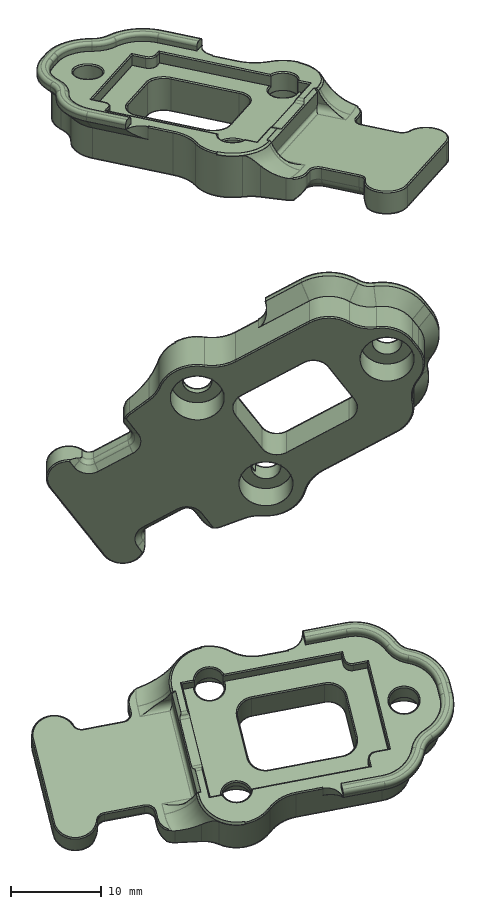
import cadquery as cq
import math

length = 46.4
body_top = 5.55
tail_top = 2.9
rim_top = 6.6
edge_chamfer = 0.15

rim_overhang = 1.62
nose_radius = 4.0
nose_flat_half = 0.65
cheek_center_x = 9.85
body_half_width = 9.0
nose_center = (rim_overhang + nose_radius, nose_flat_half)
cheek_center = (cheek_center_x, body_half_width - nose_radius)
lobe_center = (25.95, 7.0)
lobe_radius = 4.5
waist_radius = 4.8

shoulder_x = 35.1
shoulder_corner_radius = 2.0
shoulder_corner_y = 9.33
shoulder_slope = 9.0
shoulder_root_radius = 4.0
neck_half_width = 5.5
neck_fillet = 0.97
head_radius = 2.5
head_center = (length - head_radius, 5.48)

ridge_width = 1.45
rim_bite = 0.45
ridge_rounding = 0.45
ridge_end_x = 14.55
flare_end_radius = 2.0

scoop_radius = 4.0
scoop_lip = 0.25
shoulder_land = 0.97
scoop_end = shoulder_x - shoulder_land

recess_wall_x = 30.3
recess_half_width = 6.55
recess_side_fillet = 0.9
recess_end_fillet = 0.4
recess_top_chamfer = 0.4

bevel = 0.97
bevel_rounding = 0.97
neck_end = 41.57

hole_diameter = 3.3
counterbore_diameter = 6.0
counterbore_depth = 3.25
nose_hole_x = 5.4
window_left, window_right = 11.4, 23.65
window_half_width = 4.65
window_corner_radius = 2.0
pocket_left, pocket_right = 8.3, 29.0
pocket_half_width = 7.35
pocket_depth = 1.4
notch_length = 2.55
notch_width = 1.7
notch_radius = 0.97
groove_depth = 0.3
groove_floor_half = 3.0
groove_top_half = 3.85

clearance = 2.3


def circle_meeting(first_center, first_radius, second_center, second_radius):
    """Crossing point of two circles that lies to the left of the line from first to second."""
    dx = second_center[0] - first_center[0]
    dy = second_center[1] - first_center[1]
    distance = math.hypot(dx, dy)
    along = (distance**2 + first_radius**2 - second_radius**2) / (2 * distance)
    across = math.sqrt(first_radius**2 - along**2)
    return (
        first_center[0] + (along * dx - across * dy) / distance,
        first_center[1] + (along * dy + across * dx) / distance,
    )


def toward(center, target, radius):
    """Point at the given radius from a centre, in the direction of the target."""
    dx = target[0] - center[0]
    dy = target[1] - center[1]
    scale = radius / math.hypot(dx, dy)
    return (center[0] + dx * scale, center[1] + dy * scale)


def on_circle(center, radius, degrees):
    angle = math.radians(degrees)
    return (center[0] + radius * math.cos(angle), center[1] + radius * math.sin(angle))


def arc_middle(center, radius, start, end):
    """Middle of the shorter arc between two points of a circle."""
    return toward(center, ((start[0] + end[0]) / 2, (start[1] + end[1]) / 2), radius)


def arc(sketch, center, radius, start, end):
    return sketch.threePointArc(arc_middle(center, radius, start, end), end)


def both_sides(half):
    return half.union(half.mirror("XZ"))


dip_center = circle_meeting(nose_center, 2 * nose_radius, cheek_center, 2 * nose_radius)
nose_start = (rim_overhang, nose_flat_half)
nose_end = toward(nose_center, dip_center, nose_radius)
cheek_start = toward(cheek_center, dip_center, nose_radius)
cheek_end = (cheek_center_x, body_half_width)


def nose_outline(sketch):
    """Adds nose, dip and cheek arcs from nose_start to cheek_end."""
    sketch = arc(sketch, nose_center, nose_radius, nose_start, nose_end)
    sketch = arc(sketch, dip_center, nose_radius, nose_end, cheek_start)
    return arc(sketch, cheek_center, nose_radius, cheek_start, cheek_end)


def main_body():
    waist_center_y = body_half_width + waist_radius
    waist_center_x = lobe_center[0] - math.sqrt(
        (lobe_radius + waist_radius) ** 2 - (waist_center_y - lobe_center[1]) ** 2
    )
    waist_center = (waist_center_x, waist_center_y)
    waist_start = (waist_center_x, body_half_width)
    lobe_start = toward(lobe_center, waist_center, lobe_radius)
    lobe_end = (lobe_center[0] + lobe_radius, lobe_center[1])
    sketch = cq.Workplane("XY").moveTo(rim_overhang, 0).lineTo(*nose_start)
    sketch = nose_outline(sketch).lineTo(*waist_start)
    sketch = arc(sketch, waist_center, waist_radius, waist_start, lobe_start)
    sketch = sketch.threePointArc(on_circle(lobe_center, lobe_radius, 60), lobe_end)
    plate = both_sides(sketch.lineTo(lobe_end[0], 0).close().extrude(body_top))
    return plate.faces(">Z").edges().chamfer(edge_chamfer)


def tail_body():
    corner_center_x = shoulder_x - shoulder_corner_radius
    tilt = 90 - shoulder_slope
    rise = shoulder_corner_radius * math.sin(math.radians(tilt))
    corner_center = (corner_center_x, shoulder_corner_y - rise)
    corner_start = on_circle(corner_center, shoulder_corner_radius, tilt)
    corner_end = (shoulder_x, corner_center[1])
    root_x = lobe_center[0]
    root_y = corner_start[1] + (corner_start[0] - root_x) * math.tan(math.radians(shoulder_slope))

    fillet_y = neck_half_width + neck_fillet
    front_center = (shoulder_x + neck_fillet, fillet_y)
    front_end = (front_center[0], neck_half_width)
    back_center_x = head_center[0] - math.sqrt(
        (head_radius + neck_fillet) ** 2 - (fillet_y - head_center[1]) ** 2
    )
    back_center = (back_center_x, fillet_y)
    back_start = (back_center_x, neck_half_width)
    head_start = toward(back_center, head_center, neck_fillet)
    head_end = (length, head_center[1])

    def outline():
        sketch = cq.Workplane("XY").moveTo(root_x, 0).lineTo(root_x, root_y).lineTo(*corner_start)
        sketch = arc(sketch, corner_center, shoulder_corner_radius, corner_start, corner_end)
        sketch = sketch.lineTo(shoulder_x, fillet_y)
        sketch = arc(sketch, front_center, neck_fillet, (shoulder_x, fillet_y), front_end)
        sketch = sketch.lineTo(*back_start)
        sketch = arc(sketch, back_center, neck_fillet, back_start, head_start)
        sketch = sketch.threePointArc(on_circle(head_center, head_radius, 80), head_end)
        return sketch.lineTo(length, 0).close()

    plate = both_sides(outline().extrude(tail_top)).faces(">Z").edges().chamfer(edge_chamfer)
    scooped_zone = cq.Workplane("XY").box(2 * scoop_end, length, 2 * body_top)
    return plate.union(both_sides(outline().extrude(body_top)).intersect(scooped_zone))


def scoop_cutter():
    """Space above the tail, bounded by a concave round that follows the lobes."""
    end = scoop_end - lobe_center[0]
    arc_center = (end, tail_top + scoop_radius)
    cut_top = body_top + clearance
    low = (end, tail_top)
    lip_z = body_top - scoop_lip
    lip_r = end - math.sqrt(scoop_radius**2 - (arc_center[1] - lip_z) ** 2)
    lip = (lip_r, lip_z)
    def section():
        return (
            cq.Workplane("XZ", origin=(*lobe_center, 0))
            .moveTo(length, tail_top)
            .lineTo(*low)
            .threePointArc(arc_middle(arc_center, scoop_radius, low, lip), lip)
            .lineTo(lip_r - scoop_lip, body_top)
            .lineTo(lip_r - scoop_lip, cut_top)
            .lineTo(length, cut_top)
            .close()
        )

    straight = section().extrude(lobe_center[1])
    around_lobe = section().revolve(90, (0, 0, 0), (0, 1, 0))
    return both_sides(straight.union(around_lobe))


def recess_cutter():
    """Space between the scoops: bevelled end wall, filleted foot, rounded sides."""
    cut_top = body_top + clearance
    foot = (recess_wall_x + recess_end_fillet, tail_top)
    foot_center = (foot[0], tail_top + recess_end_fillet)
    along = (
        cq.Workplane("XZ", origin=(0, recess_half_width, 0))
        .moveTo(length, tail_top)
        .lineTo(*foot)
        .threePointArc(
            on_circle(foot_center, recess_end_fillet, 225), (recess_wall_x, foot_center[1])
        )
        .lineTo(recess_wall_x, body_top - recess_top_chamfer)
        .lineTo(recess_wall_x - recess_top_chamfer, body_top)
        .lineTo(recess_wall_x - recess_top_chamfer, cut_top)
        .lineTo(length, cut_top)
        .close()
        .extrude(2 * recess_half_width)
    )
    across = (
        cq.Workplane("XY")
        .box(2 * length, 2 * recess_half_width, 2 * clearance, centered=(True, True, False))
        .translate((0, 0, tail_top))
        .edges("|X and <Z")
        .fillet(recess_side_fillet)
    )
    return along.intersect(across)


def neck_bevel_cutter():
    """Space beside the neck whose lower part widens at 45 degrees to undercut the neck."""
    middle_x = (shoulder_x + neck_end) / 2
    depth = body_half_width

    def block(grow):
        size = (neck_end - shoulder_x + 2 * grow, depth + 2 * grow)
        rectangle = cq.Sketch().rect(*size).vertices().fillet(neck_fillet + grow)
        center = (middle_x, neck_half_width + depth / 2, 0)
        return cq.Workplane("XY", origin=center).placeSketch(rectangle)

    upright = block(0).extrude(body_top)
    cutter = upright.union(block(bevel).extrude(bevel, taper=45))
    margin = bevel / 10
    ridge_zone = cq.selectors.BoxSelector(
        (0, 0, bevel - margin), (length, length, bevel + margin)
    )
    cutter = cutter.edges(ridge_zone).fillet(bevel_rounding)
    return cutter.union(cutter.mirror("XZ"))


def body():
    """Solid body with scoops, recess, neck bevels and eased outer edges."""
    plate = main_body().union(tail_body()).clean()
    lobe_end_x = lobe_center[0] + lobe_radius
    root_zone = cq.selectors.BoxSelector(
        (lobe_center[0] + clearance, -length, 0), (lobe_end_x - edge_chamfer, length, body_top)
    )
    plate = plate.edges("|Z").edges(root_zone).fillet(shoulder_root_radius)
    plate = plate.faces("<Z").edges().chamfer(edge_chamfer)
    plate = plate.cut(scoop_cutter()).cut(recess_cutter())
    return plate.cut(neck_bevel_cutter())


def rim_sweep(profile_builder, end_x):
    """Sweeps a section, drawn as outward offset and height, round the nose."""
    path = cq.Workplane("XY").moveTo(end_x, body_half_width).lineTo(*cheek_end)
    path = arc(path, cheek_center, nose_radius, cheek_end, cheek_start)
    path = arc(path, dip_center, nose_radius, cheek_start, nose_end)
    path = arc(path, nose_center, nose_radius, nose_end, nose_start).lineTo(rim_overhang, 0)
    plane = cq.Plane(origin=(end_x, body_half_width, 0), xDir=(0, 1, 0), normal=(1, 0, 0))
    return both_sides(profile_builder(cq.Workplane(plane)).close().sweep(path))


def flare_section(sketch):
    flare_bottom = body_top - rim_overhang
    return (
        sketch.moveTo(-rim_bite, flare_bottom)
        .lineTo(0, flare_bottom)
        .lineTo(rim_overhang, body_top)
        .lineTo(-rim_bite, body_top)
    )


def ridge_section(sketch):
    inner = rim_overhang - ridge_width
    shoulder = rim_top - ridge_rounding
    inner_center = (inner + ridge_rounding, shoulder)
    outer_center = (rim_overhang - ridge_rounding, shoulder)
    return (
        sketch.moveTo(inner, body_top - rim_bite)
        .lineTo(inner, shoulder)
        .threePointArc(on_circle(inner_center, ridge_rounding, 135), (inner_center[0], rim_top))
        .lineTo(outer_center[0], rim_top)
        .threePointArc(on_circle(outer_center, ridge_rounding, 45), (rim_overhang, shoulder))
        .lineTo(rim_overhang, body_top)
        .lineTo(inner, body_top - rim_bite)
    )


def rim():
    flare_end_x = ridge_end_x + flare_end_radius
    end_center = (flare_end_x, body_half_width + flare_end_radius)
    end_cut = cq.Workplane("XY").pushPoints([end_center]).circle(flare_end_radius).extrude(rim_top)
    flare = rim_sweep(flare_section, flare_end_x).cut(both_sides(end_cut))
    return flare.union(rim_sweep(ridge_section, ridge_end_x))


def hole_cutter(x, y):
    """Through hole with a wide counterbore from the underside."""
    through = cq.Workplane("XY", origin=(x, y, 0)).circle(hole_diameter / 2).extrude(body_top)
    return through.union(
        cq.Workplane("XY", origin=(x, y, 0)).circle(counterbore_diameter / 2).extrude(counterbore_depth)
    )


def hole_countersink(x, y, z):
    return countersink(cq.Workplane("XY", origin=(x, y, z)).circle(hole_diameter / 2 + edge_chamfer))


def countersink(sketch):
    return sketch.extrude(-edge_chamfer, taper=45)


def window_cutter():
    def opening(z, grow):
        center_x = (window_left + window_right) / 2
        size_x = window_right - window_left + 2 * grow
        rectangle = cq.Sketch().rect(size_x, 2 * (window_half_width + grow))
        rectangle = rectangle.vertices().fillet(window_corner_radius + grow)
        return cq.Workplane("XY", origin=(center_x, 0, z)).placeSketch(rectangle)

    floor = body_top - pocket_depth
    return opening(0, 0).extrude(body_top).union(countersink(opening(floor, edge_chamfer)))


def pocket_outline(z):
    inner_y = pocket_half_width - notch_width
    notch_x = pocket_left + notch_length
    half = (
        cq.Workplane("XY", origin=(0, 0, z))
        .moveTo(pocket_left, 0)
        .lineTo(pocket_left, inner_y)
        .lineTo(notch_x - notch_radius, inner_y)
        .radiusArc((notch_x, inner_y + notch_radius), -notch_radius)
        .lineTo(notch_x, pocket_half_width)
        .lineTo(pocket_right, pocket_half_width)
        .lineTo(pocket_right, 0)
    )
    return half.mirrorX()


def pocket_cutter():
    floor = body_top - pocket_depth
    bevelled_mouth = countersink(pocket_outline(body_top).offset2D(edge_chamfer, "intersection"))
    return pocket_outline(floor).extrude(pocket_depth).union(bevelled_mouth)


def groove_cutter():
    """Shallow groove through the end wall, its sides eased by S-shaped curves."""
    middle = ((groove_floor_half + groove_top_half) / 2, body_top - groove_depth / 2)
    half = (
        cq.Workplane("YZ", origin=(pocket_right - edge_chamfer, 0, 0))
        .moveTo(0, body_top - groove_depth)
        .lineTo(groove_floor_half, body_top - groove_depth)
        .tangentArcPoint(middle, relative=False)
        .tangentArcPoint((groove_top_half, body_top), relative=False)
        .lineTo(0, body_top)
        .close()
        .extrude(clearance)
    )
    return both_sides(half)


part = body().union(rim())
part = part.cut(pocket_cutter()).cut(window_cutter()).cut(groove_cutter())

part = part.cut(hole_cutter(nose_hole_x, 0)).cut(hole_countersink(nose_hole_x, 0, body_top))
floor = body_top - pocket_depth
below_pocket = pocket_outline(floor - edge_chamfer).extrude(edge_chamfer)
for side in (1, -1):
    center = (lobe_center[0], side * lobe_center[1])
    part = part.cut(hole_cutter(*center)).cut(hole_countersink(*center, body_top))
    part = part.cut(hole_countersink(*center, floor).intersect(below_pocket))
result = part